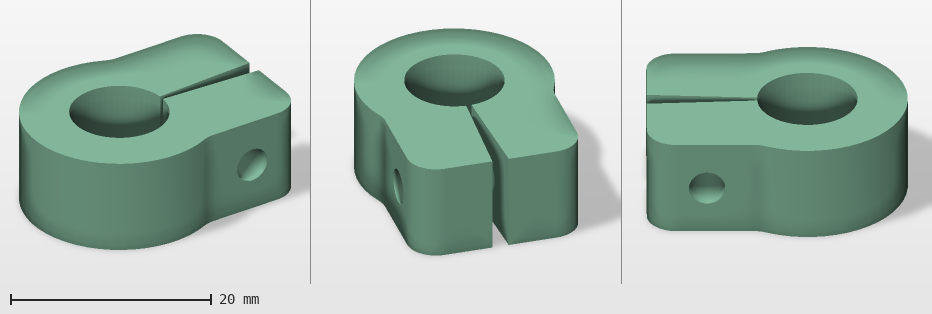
import cadquery as cq
import math

total_length = 26.0
ring_diameter = 20.0
ring_radius = ring_diameter / 2
bore_diameter = ring_diameter / 2
bore_radius = bore_diameter / 2
height = 10.0

tab_width = 17.63
tab_end = total_length - ring_radius
corner_radius = 3.0
neck_radius = 3.0

slot_width_at_bore = 0.55
slot_width_at_end = 1.7

screw_hole_diameter = 3.6
screw_hole_y = 10.0


def make_body():
    """Ring and tab, with rounded tab corners and blended necks."""
    ring = cq.Workplane("XY").circle(ring_radius).extrude(height)
    tab = cq.Workplane("XY").rect(tab_width, tab_end, centered=(True, False)).extrude(height)
    tab = tab.edges("|Z and >Y").fillet(corner_radius)
    body = ring.union(tab)

    neck_x = tab_width / 2
    neck_y = math.sqrt(ring_radius**2 - neck_x**2)
    for side in (-1, 1):
        neck = cq.selectors.NearestToPointSelector((side * neck_x, neck_y, height / 2))
        body = body.edges("|Z").edges(neck).fillet(neck_radius)
    return body


def make_slot():
    """Tapered split from the bore to the tab end, its sides extended into the bore."""
    half_at_bore = slot_width_at_bore / 2
    half_at_end = slot_width_at_end / 2
    taper = (half_at_end - half_at_bore) / (tab_end - bore_radius)
    inner_y = bore_radius / 2
    half_inner = half_at_bore - taper * (bore_radius - inner_y)
    outline = [
        (-half_inner, inner_y),
        (half_inner, inner_y),
        (half_at_end, tab_end),
        (-half_at_end, tab_end),
    ]
    return cq.Workplane("XY").polyline(outline).close().extrude(height)


def make_bore():
    return cq.Workplane("XY").circle(bore_radius).extrude(height)


def make_screw_hole():
    """Clamp screw hole running across both halves of the tab."""
    return (
        cq.Workplane("YZ")
        .center(screw_hole_y, height / 2)
        .circle(screw_hole_diameter / 2)
        .extrude(tab_width / 2, both=True)
    )


result = make_body().cut(make_bore()).cut(make_slot()).cut(make_screw_hole())